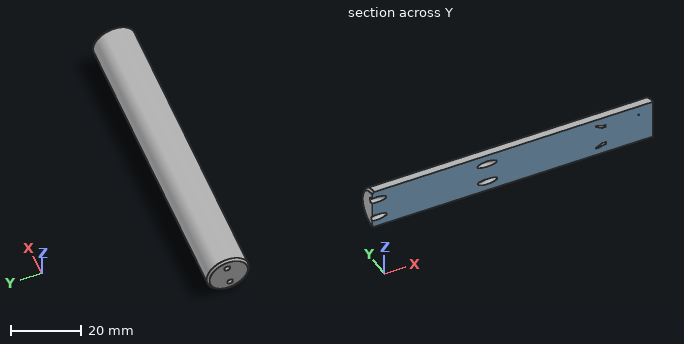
import cadquery as cq
import math

length = 90.0
diameter = 13.0
chamfer = 0.65

hole_count = 2
hole_diameter = 1.75
hole_circle_diameter = 6.5
helix_angle = 30.0

helix_pitch = math.pi * diameter / math.tan(math.radians(helix_angle))
overrun = 1.0


def make_blank():
    """Plain rod with its edge chamfered at the -X end only."""
    rod = cq.Workplane("YZ").circle(diameter / 2).extrude(length)
    return rod.faces("<X").chamfer(chamfer)


def make_coolant_hole(angle):
    """Helical hole through the full length, leaving the +X end at the given angle from +Y."""
    radius = hole_circle_diameter / 2
    path = cq.Wire.makeHelix(helix_pitch, length + 2 * overrun, radius)
    section = cq.Workplane("XY").center(radius, 0).circle(hole_diameter / 2)
    hole = section.sweep(cq.Workplane(obj=path), isFrenet=True)
    axis = cq.Plane(origin=(-overrun, 0, 0), xDir=(0, 1, 0), normal=(1, 0, 0))
    start_angle = angle - 360.0 * (length + overrun) / helix_pitch
    return hole.rotate((0, 0, 0), (0, 0, 1), start_angle).val().moved(cq.Location(axis))


result = make_blank()
for index in range(hole_count):
    hole_angle = index * 360.0 / hole_count
    result = result.cut(make_coolant_hole(hole_angle))